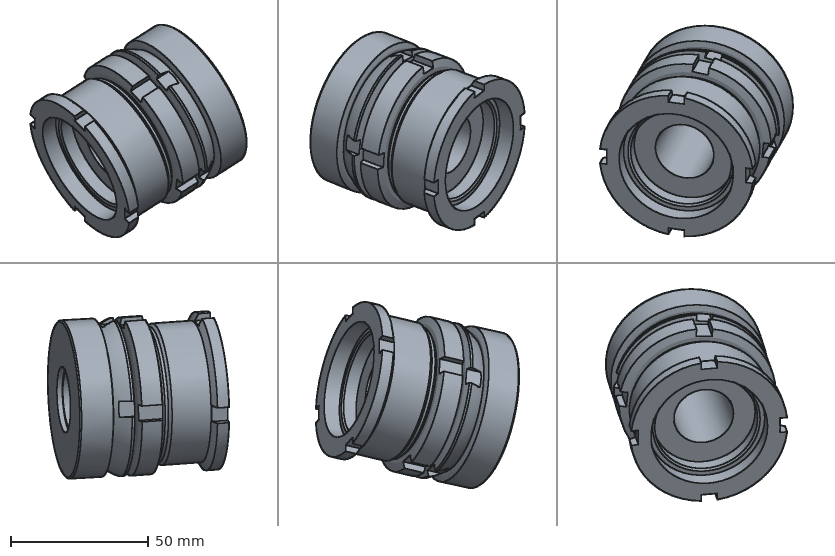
import cadquery as cq
import math


OUTER_R = 29.0
THREAD_R = 19.0
BORE_R = 11.0
SLOT_W = 5.95
SLOT_FLOOR_R = 26.25
SLOT_COUNT = 4
CUT_MARGIN = 0.6
EDGE_BEVEL_ANGLE = 15.0
BEVEL_FACE_R = 26.0
BEVEL_H = (OUTER_R - BEVEL_FACE_R) * math.tan(math.radians(EDGE_BEVEL_ANGLE))

SLEEVE_R = 25.95
SLEEVE_H = 24.15
FLANGE_RIM_H = 4.4
FLANGE_CONE_ANGLE = 30.0
FLANGE_CONE_H = (OUTER_R - SLEEVE_R) * math.tan(math.radians(FLANGE_CONE_ANGLE))
NOSE_R = 24.85
NOSE_H = 2.35
NOSE_TIP_BEVEL = 1.1
SHOULDER_BEVEL = SLEEVE_R - NOSE_R
COUNTERBORE_R = 21.6
COUNTERBORE_DEPTH = 6.1
THREAD_ENTRY_R = 19.9
THREAD_ENTRY_H = 0.5

LOCK_RING_H = 9.2
LOCK_RING_TOP = SLEEVE_H + LOCK_RING_H
LOCK_RING_TURN = 5.3

SHANK_START = 11.65
HEAD_GAP = 1.2
HEAD_START = LOCK_RING_TOP + HEAD_GAP
HEAD_RIM_H = 0.95
HEAD_RIM_END = HEAD_START + BEVEL_H + HEAD_RIM_H
SPINDLE_SLOT_FLOOR_R = 26.7
SPINDLE_TURN = 9.2

BALL_R = 31.4
BALL_CENTRE_Y = HEAD_RIM_END - math.sqrt(BALL_R ** 2 - OUTER_R ** 2)

DISC_START = 42.4
DISC_END = 55.35
DISC_BORE_R = 12.0
DISC_BEVEL_FACE_R = 26.85
DISC_BEVEL_H = (OUTER_R - DISC_BEVEL_FACE_R) * math.tan(math.radians(EDGE_BEVEL_ANGLE))
DISC_BACK_CHAMFER = 0.6
DISC_TILT = 0.9


def ball_radius_at(y):
    return math.sqrt(BALL_R ** 2 - (y - BALL_CENTRE_Y) ** 2)


def ball_y_at(radius):
    return BALL_CENTRE_Y + math.sqrt(BALL_R ** 2 - radius ** 2)


def ball_arc_mid(radius_a, radius_b):
    """Point of the ball profile midway in radius."""
    radius = (radius_a + radius_b) / 2
    return radius, ball_y_at(radius)


def turned(profile):
    """Full turn about the Y axis of a closed profile of (radius, y) points."""
    return profile.close().revolve(360, (0, 0, 0), (0, 1, 0))


def cut_slots(body, y_start, y_end, floor_r, turn):
    """Cut flat-floored spanner slots around the rim, the first one toward +Z before the turn."""
    height = OUTER_R - floor_r + CUT_MARGIN
    for index in range(SLOT_COUNT):
        slot = (
            cq.Workplane("XY")
            .box(SLOT_W, y_end - y_start, height, centered=(True, False, False))
            .translate((0, y_start, floor_r))
            .rotate((0, 0, 0), (0, 1, 0), turn + index * 360 / SLOT_COUNT)
        )
        body = body.cut(slot)
    return body


def make_sleeve():
    nose_start = SLEEVE_H - NOSE_H
    flange_end = FLANGE_RIM_H + FLANGE_CONE_H
    thread_start = COUNTERBORE_DEPTH + THREAD_ENTRY_H
    profile = cq.Workplane("XY").polyline([
        (COUNTERBORE_R, 0),
        (OUTER_R, 0),
        (OUTER_R, FLANGE_RIM_H),
        (SLEEVE_R, flange_end),
        (SLEEVE_R, nose_start - SHOULDER_BEVEL),
        (NOSE_R, nose_start),
        (NOSE_R, SLEEVE_H - NOSE_TIP_BEVEL),
        (NOSE_R - NOSE_TIP_BEVEL, SLEEVE_H),
        (THREAD_R, SLEEVE_H),
        (THREAD_R, thread_start),
        (THREAD_ENTRY_R, COUNTERBORE_DEPTH),
        (COUNTERBORE_R, COUNTERBORE_DEPTH),
    ])
    return cut_slots(turned(profile), 0, flange_end, SLOT_FLOOR_R, 0)


def make_lock_ring():
    profile = cq.Workplane("XY").polyline([
        (THREAD_R, SLEEVE_H),
        (BEVEL_FACE_R, SLEEVE_H),
        (OUTER_R, SLEEVE_H + BEVEL_H),
        (OUTER_R, LOCK_RING_TOP - BEVEL_H),
        (BEVEL_FACE_R, LOCK_RING_TOP),
        (THREAD_R, LOCK_RING_TOP),
    ])
    return cut_slots(turned(profile), SLEEVE_H, LOCK_RING_TOP, SLOT_FLOOR_R, LOCK_RING_TURN)


def make_spindle():
    """Threaded shank with a ball head that ends in a small flat at the disc's bore."""
    ball_end = ball_y_at(DISC_BORE_R)
    profile = (
        cq.Workplane("XY")
        .moveTo(BORE_R, SHANK_START)
        .lineTo(THREAD_R, SHANK_START)
        .lineTo(THREAD_R, HEAD_START)
        .lineTo(BEVEL_FACE_R, HEAD_START)
        .lineTo(OUTER_R, HEAD_START + BEVEL_H)
        .lineTo(OUTER_R, HEAD_RIM_END)
        .threePointArc(ball_arc_mid(OUTER_R, DISC_BORE_R), (DISC_BORE_R, ball_end))
        .lineTo(BORE_R, ball_end)
    )
    slot_end = ball_y_at(SPINDLE_SLOT_FLOOR_R) + CUT_MARGIN
    return cut_slots(turned(profile), HEAD_START, slot_end, SPINDLE_SLOT_FLOOR_R, SPINDLE_TURN)


def make_disc():
    """Disc with a spherical seat, tilted about the ball centre so that the seat stays on the ball."""
    seat_r = ball_radius_at(DISC_START)
    profile = (
        cq.Workplane("XY")
        .moveTo(seat_r, DISC_START)
        .lineTo(DISC_BEVEL_FACE_R, DISC_START)
        .lineTo(OUTER_R, DISC_START + DISC_BEVEL_H)
        .lineTo(OUTER_R, DISC_END - DISC_BACK_CHAMFER)
        .lineTo(OUTER_R - DISC_BACK_CHAMFER, DISC_END)
        .lineTo(DISC_BORE_R, DISC_END)
        .lineTo(DISC_BORE_R, ball_y_at(DISC_BORE_R))
        .threePointArc(ball_arc_mid(DISC_BORE_R, seat_r), (seat_r, DISC_START))
    )
    pivot = (0, BALL_CENTRE_Y, 0)
    tilt_axis_end = (0.6, BALL_CENTRE_Y, -0.6)
    return turned(profile).rotate(pivot, tilt_axis_end, DISC_TILT)


sleeve = make_sleeve()
lock_ring = make_lock_ring()
spindle = make_spindle()
disc = make_disc()

result = cq.Compound.makeCompound([sleeve.val(), lock_ring.val(), spindle.val(), disc.val()])